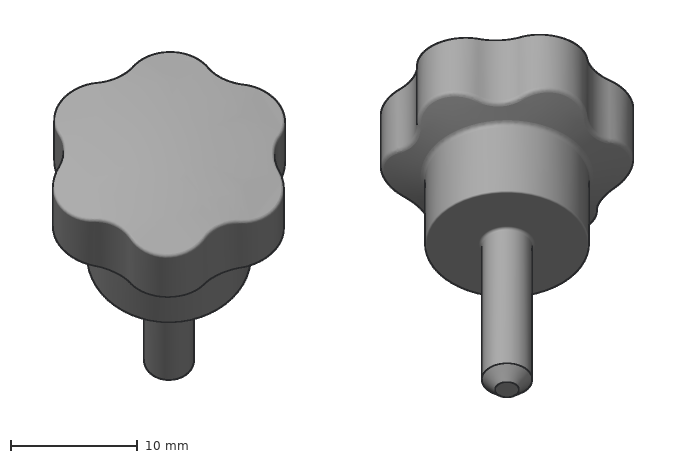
import cadquery as cq
import math

lobe_count = 6
tip_diameter = 20.0
lobe_radius = 3.5
valley_radius = 3.5
dome_radius = 45.0
top_rim_fillet = 0.27
bottom_rim_fillet = 0.42

underside_radius = 25.0
underside_neck_z = 22.02

collar_diameter = 13.0
collar_bottom_z = 15.0
collar_edge_fillet = 0.15
neck_fillet = 0.45

total_height = 30.0
pin_diameter = 4.0
pin_chamfer = 1.05
pin_root_fillet = 0.25

tip_radius = tip_diameter / 2
collar_radius = collar_diameter / 2
pin_radius = pin_diameter / 2
lobe_center_radius = tip_radius - lobe_radius
lobe_step = 2 * math.pi / lobe_count

lobe_along_valley = lobe_center_radius * math.cos(lobe_step / 2)
lobe_beside_valley = lobe_center_radius * math.sin(lobe_step / 2)
center_distance = lobe_radius + valley_radius
valley_center_radius = lobe_along_valley + math.sqrt(center_distance**2 - lobe_beside_valley**2)
valley_floor_radius = valley_center_radius - valley_radius

selection_margin = 0.003

envelope_margin = 0.3


def polar(radius, angle):
    return (radius * math.cos(angle), radius * math.sin(angle))


def tangent_point(lobe_angle, valley_angle):
    """Point where a lobe arc runs smoothly into the neighbouring valley arc."""
    lobe = polar(lobe_center_radius, lobe_angle)
    valley = polar(valley_center_radius, valley_angle)
    share = lobe_radius / (lobe_radius + valley_radius)
    return tuple(a + share * (b - a) for a, b in zip(lobe, valley))


def star_outline():
    """Closed outline of alternating lobes and valleys, with lobes on the Y axis."""
    first_lobe = math.pi / 2
    outline = cq.Workplane("XY").moveTo(*tangent_point(first_lobe, first_lobe - lobe_step / 2))
    for index in range(lobe_count):
        lobe = first_lobe + index * lobe_step
        valley = lobe + lobe_step / 2
        outline = outline.threePointArc(polar(tip_radius, lobe), tangent_point(lobe, valley))
        outline = outline.threePointArc(
            polar(valley_floor_radius, valley), tangent_point(lobe + lobe_step, valley)
        )
    return outline.close()


def sphere_rise(sphere_radius, radius):
    """Height gained from a sphere's lowest point out to the given distance from its axis."""
    return sphere_radius - math.sqrt(sphere_radius**2 - radius**2)


def dome_z(radius):
    return total_height - sphere_rise(dome_radius, radius)


def underside_z(radius):
    neck_rise = sphere_rise(underside_radius, collar_radius)
    return underside_neck_z - neck_rise + sphere_rise(underside_radius, radius)


def head_envelope():
    """Revolved blank with a domed top and underside, wider than the star."""
    outer = tip_radius + envelope_margin
    middle = outer / 2
    return (
        cq.Workplane("XZ")
        .moveTo(0, underside_z(0))
        .threePointArc((middle, underside_z(middle)), (outer, underside_z(outer)))
        .lineTo(outer, dome_z(outer))
        .threePointArc((middle, dome_z(middle)), (0, total_height))
        .close()
        .revolve(360, (0, 0, 0), (0, 1, 0))
    )


def star_head():
    star = star_outline().extrude(total_height)
    head = star.intersect(head_envelope())
    head = head.faces(">Z").edges().fillet(top_rim_fillet)
    return head.faces("<Z").edges().fillet(bottom_rim_fillet)


def collar():
    height = underside_neck_z - collar_bottom_z
    body = cq.Workplane("XY").workplane(offset=collar_bottom_z).circle(collar_radius).extrude(height)
    return body.faces("<Z").edges().fillet(collar_edge_fillet)


def pin():
    body = cq.Workplane("XY").circle(pin_radius).extrude(collar_bottom_z)
    return body.faces("<Z").edges().chamfer(pin_chamfer)


def circle_at(radius, height):
    """Selector for the circular edge of the given radius around the part's axis."""
    outer = radius + selection_margin
    return cq.selectors.BoxSelector(
        (-outer, -outer, height - selection_margin),
        (outer, outer, height + selection_margin),
        boundingbox=True,
    )


knob = star_head().union(collar())
knob = knob.edges(circle_at(collar_radius, underside_neck_z)).fillet(neck_fillet)
knob = knob.union(pin())
result = knob.edges(circle_at(pin_radius, collar_bottom_z)).fillet(pin_root_fillet)